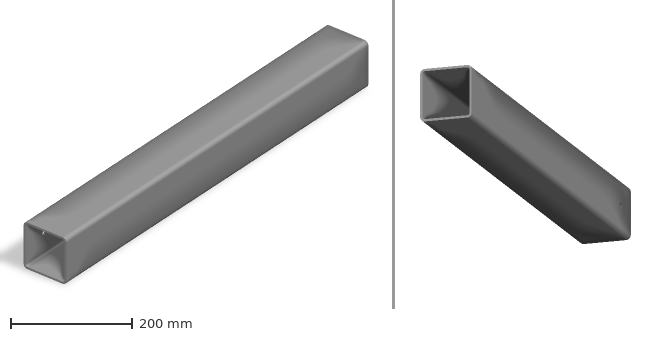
import cadquery as cq

side = 90.0
length = 800.0
wall = 4.0
outer_radius = 2 * wall
inner_radius = outer_radius - wall

hole_diameter = 10.0
hole_from_end = 50.0


def rounded_bar(width, corner_radius):
    """Square bar centred on the Y axis with its long edges rounded."""
    return cq.Workplane("XY").box(width, length, width).edges("|Y").fillet(corner_radius)


def wall_hole():
    """Cylinder along X that pierces only the -X wall near the -Y end."""
    hole_y = -length / 2 + hole_from_end
    return (
        cq.Workplane("YZ", origin=(-side / 2, hole_y, 0))
        .circle(hole_diameter / 2)
        .extrude(side / 2)
    )


tube = rounded_bar(side, outer_radius).cut(rounded_bar(side - 2 * wall, inner_radius))
result = tube.cut(wall_hole())